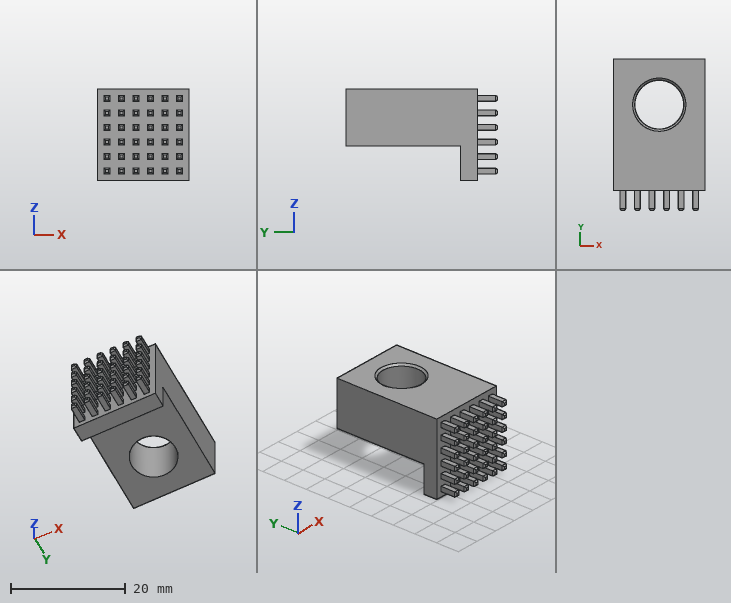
import cadquery as cq

body_width = 16.0
body_depth = 23.0
block_height = 10.0
flange_height = 16.0
flange_thickness = 3.0

hole_diameter = 8.5
hole_chamfer = 0.4
hole_edge_distance = body_width / 2

pin_count = 6
pin_pitch = 2.54
pin_width = 1.05
pin_length = 3.5
pin_tip_length = 0.35
pin_tip_inset = 0.25

front_y = 0.0
back_y = front_y + body_depth
top_z = flange_height
block_bottom_z = top_z - block_height
flange_back_y = front_y + flange_thickness
hole_y = back_y - hole_edge_distance


def make_body():
    """L-shaped profile in the YZ plane, extruded across the width."""
    profile = [
        (front_y, 0),
        (flange_back_y, 0),
        (flange_back_y, block_bottom_z),
        (back_y, block_bottom_z),
        (back_y, top_z),
        (front_y, top_z),
    ]
    return cq.Workplane("YZ").polyline(profile).close().extrude(body_width / 2, both=True)


def cut_hole(body):
    """Through hole with a chamfered upper rim."""
    return (
        body.faces(">Z")
        .workplane(origin=(0, hole_y, top_z))
        .hole(hole_diameter)
        .faces(">Z")
        .edges("%CIRCLE")
        .chamfer(hole_chamfer)
    )


def make_pins():
    """Square grid of pins with tapered tips, pointing toward -Y from the front face."""
    return (
        cq.Workplane("XZ", origin=(0, front_y, flange_height / 2))
        .rarray(pin_pitch, pin_pitch, pin_count, pin_count)
        .rect(pin_width, pin_width)
        .extrude(pin_length)
        .faces("<Y")
        .chamfer(pin_tip_length, pin_tip_inset)
    )


result = cut_hole(make_body()).union(make_pins()).solids()